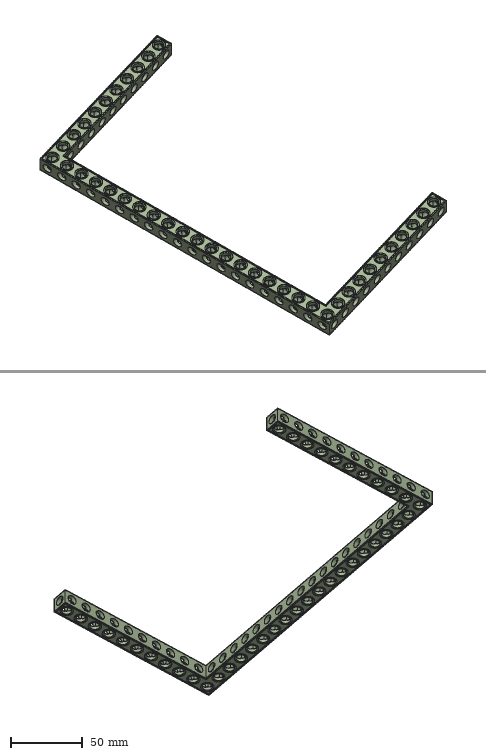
import cadquery as cq

pitch = 12.5
base_holes = 20
arm_holes = 11
hole_diameter = 7.0
mouth_diameter = 9.2
edge_setback = 1.0
step_depth = 0.2

length = base_holes * pitch
depth = arm_holes * pitch
height = pitch
half_pitch = pitch / 2

hole_xs = [half_pitch + i * pitch for i in range(base_holes)]
hole_ys = [half_pitch + i * pitch for i in range(arm_holes)]
arm_xs = [hole_xs[0], hole_xs[-1]]
base_y = hole_ys[0]
base_points = [(x, base_y) for x in hole_xs]
arm_points = [(x, y) for x in arm_xs for y in hole_ys[1:]]
vertical_points = base_points + arm_points


def u_layer(setback, bottom, thickness):
    """U-shaped plate, open toward +Y, with its whole outline set back inward."""
    left = setback
    right = length - setback
    front = setback
    back = depth - setback
    inner_left = pitch - setback
    inner_right = length - inner_left
    inner_front = pitch - setback
    outline = [
        (left, front),
        (right, front),
        (right, back),
        (inner_right, back),
        (inner_right, inner_front),
        (inner_left, inner_front),
        (inner_left, back),
        (left, back),
    ]
    return cq.Workplane("XY", origin=(0, 0, bottom)).polyline(outline).close().extrude(thickness)


def vertical_cylinders(diameter, bottom, thickness):
    """One cylinder at every vertical hole."""
    return (
        cq.Workplane("XY", origin=(0, 0, bottom))
        .pushPoints(vertical_points)
        .circle(diameter / 2)
        .extrude(thickness)
    )


def stepped_frame():
    """Frame whose top and bottom faces are raised slightly inside a shallow edge step."""
    core = u_layer(0, step_depth, height - 2 * step_depth)
    raised_faces = u_layer(edge_setback, 0, height)
    return core.union(raised_faces)


def cut_vertical_holes(body):
    """Vertical holes along all three bars, with shallow wider mouths at both ends."""
    body = body.cut(vertical_cylinders(hole_diameter, 0, height))
    for bottom in (0, height - step_depth):
        body = body.cut(vertical_cylinders(mouth_diameter, bottom, step_depth))
    return body


def cut_horizontal_holes(body):
    """Plain holes through the whole frame along Y and along X, at mid height."""
    holes_along_y = (
        cq.Workplane("XZ")
        .pushPoints([(x, height / 2) for x in hole_xs])
        .circle(hole_diameter / 2)
        .extrude(-depth)
    )
    holes_along_x = (
        cq.Workplane("YZ")
        .pushPoints([(y, height / 2) for y in hole_ys])
        .circle(hole_diameter / 2)
        .extrude(length)
    )
    return body.cut(holes_along_y).cut(holes_along_x)


result = cut_horizontal_holes(cut_vertical_holes(stepped_frame()))